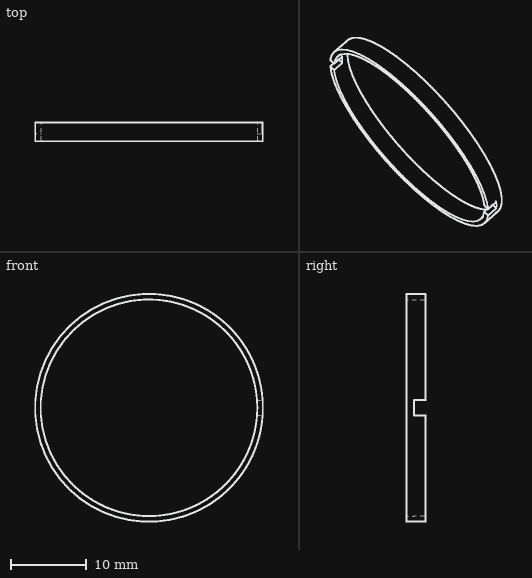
import cadquery as cq

OUTER_DIAMETER = 30.0
INNER_DIAMETER = 28.5
RING_WIDTH = 2.5

NOTCH_HEIGHT = 2.0
NOTCH_DEPTH = 1.5


def make_ring():
    """Plain ring spanning the full width, centred on Y = 0."""
    return (
        cq.Workplane("XZ")
        .circle(OUTER_DIAMETER / 2)
        .circle(INNER_DIAMETER / 2)
        .extrude(RING_WIDTH / 2, both=True)
    )


def make_notch_cutter():
    """Bar along X that cuts the notches on the -X and +X sides in one pass."""
    notch_centre_y = RING_WIDTH / 2 - NOTCH_DEPTH / 2
    return (
        cq.Workplane("XY")
        .box(OUTER_DIAMETER, NOTCH_DEPTH, NOTCH_HEIGHT)
        .translate((0, notch_centre_y, 0))
    )


result = make_ring().cut(make_notch_cutter())